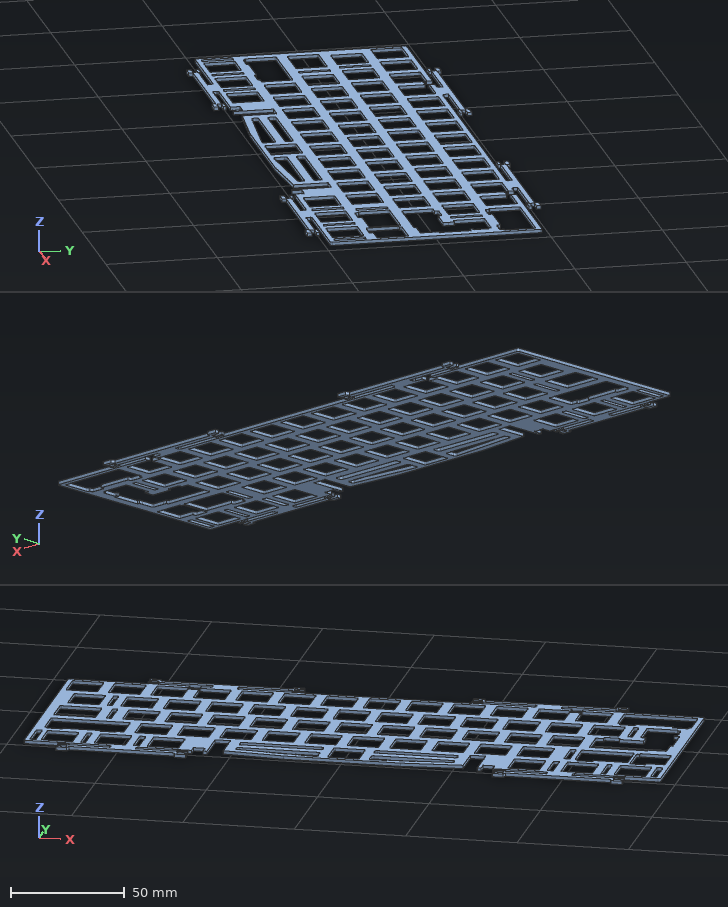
import cadquery as cq


UNIT = 19.05
COLUMNS = 15
ROWS = 5
THICKNESS = 1.6
WIDTH = COLUMNS * UNIT
HEIGHT = ROWS * UNIT
OVERALL_HEIGHT = 109.28
PLATE_CORNER_RADIUS = 1.0

SWITCH_SIZE = 14.0
SWITCH_CORNER_RADIUS = 0.5

STABILIZER_OFFSET = 11.9
STABILIZER_WIDTH = 7.0
STABILIZER_LONG_REACH = 8.8
STABILIZER_SHORT_REACH = 5.9
STABILIZER_CORNER_RADIUS = 0.5
LEFT_SHIFT_REACH = 8.0

WIDE_FLEX_SLOT = 2.6
NARROW_FLEX_SLOT = 2.1
FLEX_SLOT_CORNER_RADIUS = 0.4
EDGE_SLOT_X = 3.6
OUTER_SLOT_X = 26.1
INNER_SLOT_X = 50.0
CAPS_LOCK_SLOT_X = 29.7
RIGHT_SHIFT_SLOT_X = 239.3

BACKSPACE = 14.0
LEFT_SHIFT = 1.125
RIGHT_SHIFT = 13.625
WIDE_ENTER = 13.875
TALL_ENTER = 14.375

TAB_REACH = (OVERALL_HEIGHT - HEIGHT) / 2
TAB_BRIDGE_WIDTH = 11.4
TAB_FLARE = 0.7
PRONG_BEVEL = 0.7
TAB_BAR_NEAR = 2.6
TAB_BAR_FAR = 5.2
PRONG_LENGTH = 4.2
PRONG_OVERLAP = 0.6
INNER_PRONG_NEAR = 1.5
INNER_PRONG_FAR = 2.9
OUTER_PRONG_NEAR = 4.9
TOP_TAB_X = 70.2
TOP_TAB_LENGTH = 69.5
BOTTOM_TAB_X = 44.9
BOTTOM_TAB_LENGTH = 58.2

TOP_NOTCH_X = 3 * UNIT
TOP_NOTCH_WIDTH = UNIT - SWITCH_SIZE
TOP_NOTCH_DEPTH = 4.3
SPACE_SLOT_LEFT = 82.2
SPACE_SLOT_RIGHT = 89.0
SPACE_SLOT_DEPTH = 17.9
SMALL_NOTCH_LEFT = 75.3
SMALL_NOTCH_RIGHT = 80.4
SMALL_NOTCH_DEPTH = 4.3

SLOPE_END_X = 116.6
SLOPE_RISE = 2.35
SPACE_RAIL = 3.65
WINDOW_LEFT = 94.0
WINDOW_RIGHT = 131.3
WINDOW_CORNER_RADIUS = 1.0
UPPER_WINDOW_BOTTOM = 12.7
UPPER_WINDOW_TOP = 16.4
TAPERED_WINDOW_TOP = 8.5
TAPERED_WINDOW_BOTTOM = (UNIT - SWITCH_SIZE) / 2


def row_y(row):
    """Centre height of a key row, row 0 being the uppermost."""
    return HEIGHT - (row + 0.5) * UNIT


def block(left, bottom, right, top):
    """Plate-thick rectangular block between two opposite corners."""
    return cq.Workplane("XY").box(
        right - left, top - bottom, THICKNESS, centered=False
    ).translate((left, bottom, 0))


def rounded_block(left, bottom, right, top, radius):
    return block(left, bottom, right, top).edges("|Z").fillet(radius)


def mirrored_pair(shape):
    """The shape together with its mirror image about the plate's middle column."""
    twin = shape.mirror("YZ").translate((WIDTH, 0, 0))
    return [shape, twin]


def switch_window(first_key, last_key, row):
    """Window spanning the switch openings centred at two positions in key units."""
    half = SWITCH_SIZE / 2
    y = row_y(row)
    return rounded_block(
        first_key * UNIT - half, y - half, last_key * UNIT + half, y + half, SWITCH_CORNER_RADIUS
    )


def flex_slot(x, row, width):
    half = SWITCH_SIZE / 2
    y = row_y(row)
    return rounded_block(
        x - width / 2, y - half, x + width / 2, y + half, FLEX_SLOT_CORNER_RADIUS
    )


def stabilizer_pair(key, row, down, up):
    """Two stabilizer openings beside a wide key."""
    y = row_y(row)
    half = STABILIZER_WIDTH / 2
    openings = []
    for side in (-1, 1):
        x = key * UNIT + side * STABILIZER_OFFSET
        openings.append(rounded_block(x - half, y - down, x + half, y + up, STABILIZER_CORNER_RADIUS))
    return openings


def plain_switch_windows():
    runs = [(0, 0.5, 13), (1, 0.75, 1), (1, 2.0, 12), (2, 2.25, 11), (3, 2.75, 10)]
    windows = []
    for row, first, count in runs:
        for index in range(count):
            windows.append(switch_window(first + index, first + index, row))
    bottom_row_keys = (0.75, 2.0, 3.25, 7.5, 11.75, 13.0, 14.25)
    for key in bottom_row_keys:
        windows.append(switch_window(key, key, 4))
    return windows


def wide_key_windows():
    backspace = [switch_window(13.5, 14.5, 0)]
    backspace += stabilizer_pair(BACKSPACE, 0, STABILIZER_LONG_REACH, STABILIZER_SHORT_REACH)
    caps_lock = [switch_window(0.625, 0.875, 2)]
    left_shift = [switch_window(0.625, 1.75, 3)]
    left_shift += stabilizer_pair(LEFT_SHIFT, 3, LEFT_SHIFT_REACH, STABILIZER_SHORT_REACH)
    right_shift = [switch_window(13.125, RIGHT_SHIFT, 3), switch_window(14.5, 14.5, 3)]
    right_shift += stabilizer_pair(RIGHT_SHIFT, 3, STABILIZER_LONG_REACH, STABILIZER_SHORT_REACH)
    return backspace + caps_lock + left_shift + right_shift


def enter_windows():
    """Combined opening for a wide Enter key and a tall, two-row Enter key."""
    tall_x = TALL_ENTER * UNIT
    tall_y = (row_y(1) + row_y(2)) / 2
    half_switch = SWITCH_SIZE / 2
    half_stabilizer = STABILIZER_WIDTH / 2
    windows = [switch_window(14.25, 14.25, 1), switch_window(13.25, WIDE_ENTER, 2)]
    windows += stabilizer_pair(WIDE_ENTER, 2, STABILIZER_SHORT_REACH, STABILIZER_LONG_REACH)
    windows.append(
        block(tall_x - half_switch, tall_y - half_switch, tall_x + half_switch, tall_y + half_switch)
    )
    windows.append(block(tall_x - half_switch, tall_y - STABILIZER_OFFSET, tall_x, tall_y))
    for side in (-1, 1):
        y = tall_y + side * STABILIZER_OFFSET
        windows.append(
            rounded_block(
                tall_x - half_switch,
                y - half_stabilizer,
                tall_x + STABILIZER_SHORT_REACH,
                y + half_stabilizer,
                STABILIZER_CORNER_RADIUS,
            )
        )
    return windows


def flex_slots():
    slots = [
        flex_slot(CAPS_LOCK_SLOT_X, 2, NARROW_FLEX_SLOT),
        flex_slot(RIGHT_SHIFT_SLOT_X, 3, WIDE_FLEX_SLOT),
    ]
    for row in (1, 4):
        slots += mirrored_pair(flex_slot(OUTER_SLOT_X, row, NARROW_FLEX_SLOT))
    for x in (EDGE_SLOT_X, INNER_SLOT_X):
        slots += mirrored_pair(flex_slot(x, 4, WIDE_FLEX_SLOT))
    return slots


def edge_cuts():
    notch_half = TOP_NOTCH_WIDTH / 2
    top_notch = block(
        TOP_NOTCH_X - notch_half, HEIGHT - TOP_NOTCH_DEPTH, TOP_NOTCH_X + notch_half, HEIGHT
    )
    space_slot = block(SPACE_SLOT_LEFT, 0, SPACE_SLOT_RIGHT, SPACE_SLOT_DEPTH)
    small_notch = block(SMALL_NOTCH_LEFT, 0, SMALL_NOTCH_RIGHT, SMALL_NOTCH_DEPTH)
    slope = (
        cq.Workplane("XY")
        .polyline([(SPACE_SLOT_RIGHT, 0), (SLOPE_END_X, 0), (SPACE_SLOT_RIGHT, SLOPE_RISE)])
        .close()
        .extrude(THICKNESS)
    )
    cuts = []
    for cut in (top_notch, space_slot, small_notch, slope):
        cuts += mirrored_pair(cut)
    return cuts


def spacebar_windows():
    upper = rounded_block(
        WINDOW_LEFT, UPPER_WINDOW_BOTTOM, WINDOW_RIGHT, UPPER_WINDOW_TOP, WINDOW_CORNER_RADIUS
    )
    gradient = SLOPE_RISE / (SLOPE_END_X - SPACE_SLOT_RIGHT)
    left_height = (SLOPE_END_X - WINDOW_LEFT) * gradient + SPACE_RAIL
    flat_start = SLOPE_END_X + (SPACE_RAIL - TAPERED_WINDOW_BOTTOM) / gradient
    tapered = (
        cq.Workplane("XY")
        .polyline(
            [
                (WINDOW_LEFT, TAPERED_WINDOW_TOP),
                (WINDOW_LEFT, left_height),
                (flat_start, TAPERED_WINDOW_BOTTOM),
                (WINDOW_RIGHT, TAPERED_WINDOW_BOTTOM),
                (WINDOW_RIGHT, TAPERED_WINDOW_TOP),
            ]
        )
        .close()
        .extrude(THICKNESS)
        .edges("|Z")
        .fillet(WINDOW_CORNER_RADIUS)
    )
    return mirrored_pair(upper) + mirrored_pair(tapered)


def mounting_tab(x, length):
    """Upper-edge tab: a bar on a short bridge with a forked end on each side."""
    bar_half = length / 2 - PRONG_LENGTH
    bridge_half = TAB_BRIDGE_WIDTH / 2
    tab = block(x - bar_half, HEIGHT + TAB_BAR_NEAR, x + bar_half, HEIGHT + TAB_BAR_FAR)
    tab = tab.union(block(x - bridge_half, HEIGHT, x + bridge_half, HEIGHT + TAB_BAR_FAR))
    foot = [
        (x - bridge_half - TAB_FLARE, HEIGHT),
        (x + bridge_half + TAB_FLARE, HEIGHT),
        (x + bridge_half, HEIGHT + TAB_FLARE),
        (x - bridge_half, HEIGHT + TAB_FLARE),
    ]
    tab = tab.union(cq.Workplane("XY").polyline(foot).close().extrude(THICKNESS))
    for side in (-1, 1):
        tip = x + side * length / 2
        root = x + side * (bar_half - PRONG_OVERLAP)
        inner_prong = block(
            min(tip, root), HEIGHT + INNER_PRONG_NEAR, max(tip, root), HEIGHT + INNER_PRONG_FAR
        )
        outer_prong = [
            (tip, HEIGHT + OUTER_PRONG_NEAR),
            (tip, HEIGHT + TAB_REACH),
            (root, HEIGHT + TAB_REACH),
            (root - side * PRONG_BEVEL, HEIGHT + TAB_BAR_FAR),
            (root - side * PRONG_BEVEL, HEIGHT + OUTER_PRONG_NEAR),
        ]
        tab = tab.union(inner_prong)
        tab = tab.union(cq.Workplane("XY").polyline(outer_prong).close().extrude(THICKNESS))
    return tab


def mounting_tabs():
    top = mounting_tab(TOP_TAB_X, TOP_TAB_LENGTH)
    bottom = mounting_tab(BOTTOM_TAB_X, BOTTOM_TAB_LENGTH).mirror("XZ").translate((0, HEIGHT, 0))
    return mirrored_pair(top) + mirrored_pair(bottom)


def build_plate():
    plate = rounded_block(0, 0, WIDTH, HEIGHT, PLATE_CORNER_RADIUS)
    for tab in mounting_tabs():
        plate = plate.union(tab)
    openings = plain_switch_windows() + wide_key_windows() + enter_windows()
    openings += flex_slots() + edge_cuts() + spacebar_windows()
    cutters = [opening.val() for opening in openings]
    plate = cq.Workplane(plate.val().cut(*cutters))
    return plate.translate((-WIDTH / 2, -HEIGHT / 2, 0))


result = build_plate()